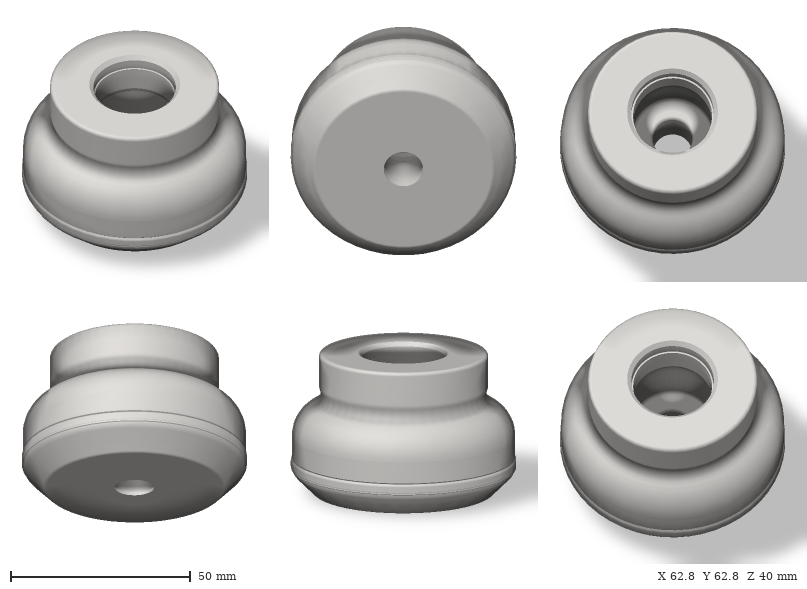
import cadquery as cq
import math

height = 40.0
joint_level = 9.85
shoulder_level = 16.3

flange_radius = 31.4
flange_rounding = 0.9
flange_rounding_angle = math.radians(60)
flange_bottom = 7.55
lip_radius = 31.35
lip_top = 7.35
lip_bottom = 7.0
step_radius = 31.1
step_top = 6.8
step_bottom = 6.5
lower_taper = math.radians(17)
cone_angle = math.radians(45)
cone_bend_radius = 2.75
base_edge_radius = 1.2

body_radius = 31.1
body_chamfer = 0.3
dome_radius = 10.0
dome_end_angle = math.radians(60)
neck_radius = 23.1
neck_fillet = 3.0
collar_radius = 23.6
collar_fillet = 3.0
collar_edge_radius = 1.0

bore_radius = 11.5
bore_chamfer = 1.1
bore_floor_level = 14.7
bore_floor_fillet = 0.95
band_radius = 11.0
band_top = 36.1
band_bottom = 29.1
band_taper_bottom = 27.8
hole_radius = 5.45
hole_rounding = 0.9


def arc_point(center, radius, angle):
    """Point on a circle, with the angle measured up from the outward direction."""
    return (center[0] + radius * math.cos(angle), center[1] + radius * math.sin(angle))


def add_arc(outline, center, radius, start, end):
    """Continue an outline along an arc from its start angle to its end angle."""
    middle = arc_point(center, radius, (start + end) / 2)
    return outline.threePointArc(middle, arc_point(center, radius, end))


def revolve(outline):
    """Turn a closed outline of (radius, level) points around the Z axis."""
    return outline.close().revolve(360, (0, 0, 0), (0, 1, 0))


def make_base():
    """Flanged disc with a stepped lip and a conical underside."""
    step_foot = (step_radius - (step_top - step_bottom) * math.tan(lower_taper), step_bottom)
    bend_center = (
        step_foot[0] - cone_bend_radius * math.cos(lower_taper),
        step_foot[1] + cone_bend_radius * math.sin(lower_taper),
    )
    cone_top = arc_point(bend_center, cone_bend_radius, -cone_angle)

    cone_bottom_level = base_edge_radius * (1 - math.sin(cone_angle))
    cone_bottom_radius = cone_top[0] - (cone_top[1] - cone_bottom_level) * math.tan(cone_angle)
    edge_center = (cone_bottom_radius - base_edge_radius * math.cos(cone_angle), base_edge_radius)
    flange_center = (
        flange_radius - flange_rounding,
        joint_level - flange_rounding * math.sin(flange_rounding_angle),
    )

    outline = cq.Workplane("XZ").moveTo(hole_radius, 0).lineTo(edge_center[0], 0)
    outline = add_arc(outline, edge_center, base_edge_radius, -math.pi / 2, -cone_angle)
    outline = outline.lineTo(*cone_top)
    outline = add_arc(outline, bend_center, cone_bend_radius, -cone_angle, -lower_taper)
    outline = (
        outline.lineTo(step_radius, step_top)
        .lineTo(lip_radius, lip_bottom)
        .lineTo(lip_radius, lip_top)
        .lineTo(flange_radius, flange_bottom)
        .lineTo(flange_radius, flange_center[1])
    )
    outline = add_arc(outline, flange_center, flange_rounding, 0, flange_rounding_angle)
    return revolve(outline.lineTo(hole_radius, joint_level))


def make_housing():
    """Domed housing with a necked collar, a stepped blind bore and a through hole."""
    dome_center = (body_radius - dome_radius, shoulder_level)
    dome_end = arc_point(dome_center, dome_radius, dome_end_angle)

    neck_center_radius = neck_radius + neck_fillet
    slope_top_radius = neck_center_radius - neck_fillet * math.cos(dome_end_angle)
    slope_top_level = dome_end[1] + (dome_end[0] - slope_top_radius) / math.tan(dome_end_angle)
    neck_center = (neck_center_radius, slope_top_level + neck_fillet * math.sin(dome_end_angle))

    fillet_sum = neck_fillet + collar_fillet
    turn_angle = math.acos(1 - (collar_radius - neck_radius) / fillet_sum)
    collar_bottom = neck_center[1] + fillet_sum * math.sin(turn_angle)
    collar_center = (collar_radius - collar_fillet, collar_bottom)
    collar_edge_center = (collar_radius - collar_edge_radius, height - collar_edge_radius)

    floor_fillet_center = (bore_radius - bore_floor_fillet, bore_floor_level + bore_floor_fillet)
    hole_rounding_center = (hole_radius + hole_rounding, bore_floor_level - hole_rounding)

    outline = (
        cq.Workplane("XZ")
        .moveTo(hole_radius, joint_level)
        .lineTo(body_radius - body_chamfer, joint_level)
        .lineTo(body_radius, joint_level + body_chamfer)
        .lineTo(body_radius, shoulder_level)
    )
    outline = add_arc(outline, dome_center, dome_radius, 0, dome_end_angle)
    outline = outline.lineTo(slope_top_radius, slope_top_level)
    outline = add_arc(
        outline, neck_center, neck_fillet, math.pi + dome_end_angle, math.pi - turn_angle
    )
    outline = add_arc(outline, collar_center, collar_fillet, -turn_angle, 0)
    outline = outline.lineTo(collar_radius, collar_edge_center[1])
    outline = add_arc(outline, collar_edge_center, collar_edge_radius, 0, math.pi / 2)

    outline = (
        outline.lineTo(bore_radius + bore_chamfer, height)
        .lineTo(bore_radius, height - bore_chamfer)
        .lineTo(bore_radius, band_top)
        .lineTo(band_radius, band_top)
        .lineTo(band_radius, band_bottom)
        .lineTo(bore_radius, band_taper_bottom)
        .lineTo(bore_radius, floor_fillet_center[1])
    )
    outline = add_arc(outline, floor_fillet_center, bore_floor_fillet, 0, -math.pi / 2)
    outline = outline.lineTo(hole_rounding_center[0], bore_floor_level)
    outline = add_arc(outline, hole_rounding_center, hole_rounding, math.pi / 2, math.pi)
    return revolve(outline)


base = make_base()
housing = make_housing()
result = cq.Compound.makeCompound([base.val(), housing.val()])